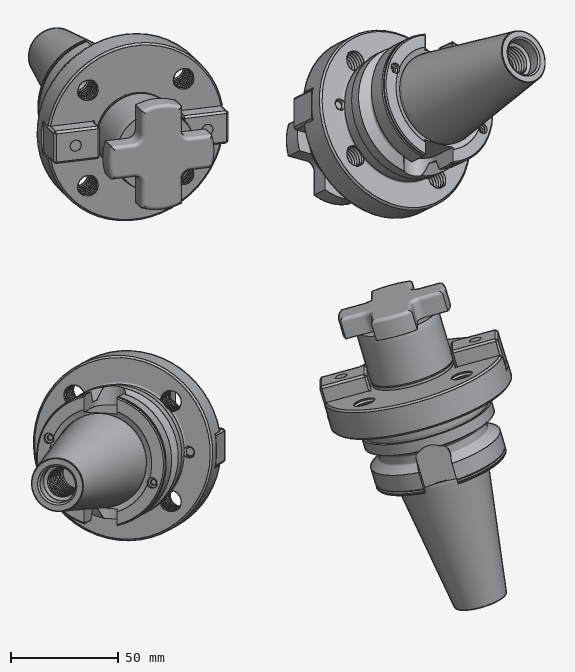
import cadquery as cq
import math


TAPER_END = 65.4
COLLAR_START = 66.3
GROOVE_START = 77.0
GROOVE_FLOOR_START = 79.9
GROOVE_FLOOR_END = 84.1
GROOVE_END = 87.0
SHOULDER_START = 92.5
SHOULDER_FULL = 93.9
FLANGE_START = 100.1
FLANGE_END = 115.0
SPIGOT_START = 116.5
SPIGOT_FULL = 117.2
LEAD_IN_START = 139.1
LEAD_IN_END = 141.0
SPIGOT_END = 142.5
TOTAL_LENGTH = 152.4

TAPER_LARGE_R = 22.3
TAPER_SMALL_R = TAPER_LARGE_R - TAPER_END * 7 / 48
TAPER_TIP_CHAMFER = 0.3

COLLAR_R = 31.5
COLLAR_CHAMFER = 0.6
GROOVE_R = 26.4
GROOVE_CORNER_R = 0.8
FACE_RECESS_R = 25.1
FACE_RECESS_DEPTH = 1.0
RING_GROOVE_START = 67.5
RING_GROOVE_WIDTH = 1.2
RING_GROOVE_DEPTH = 0.6

SHOULDER_R = 30.6
SHOULDER_RELIEF_R = 30.3
SHOULDER_FILLET = 0.9
FLANGE_R = 88.0 / 2
FLANGE_CHAMFER = 0.9
SPIGOT_R = 20.0
SPIGOT_ROOT_R = 19.7
SPIGOT_LEAD_IN_R = 19.8
SPIGOT_TIP_R = 19.5

BORE_MOUTH_R = 9.6
BORE_MOUTH_DEPTH = 0.8
PILOT_R = 8.7
PILOT_DEPTH = 6.4
PILOT_STEP_LENGTH = 0.8
STUD_THREAD_R = 7.0
STUD_THREAD_PITCH = 2.0
STUD_THREAD_TURNS = 12

KEYWAY_HALF_WIDTH = 8.1
KEYWAY_FLOOR = 22.5
KEYWAY_END = 88.7

THREAD_DEPTH_RATIO = 0.4
BOLT_HOLE_R = 5.0
BOLT_CIRCLE_R = 33.5
BOLT_THREAD_TURNS = 8
DRILL_POINT_ANGLE = 118.0
COOLANT_HOLE_R = 2.5
COOLANT_CIRCLE_R = 27.0
COOLANT_HOLE_DEPTH = 1.8
COOLANT_DRILLING_R = 1.4
COOLANT_DRILLING_DEPTH = 1.5
COOLANT_ANGLE = 20.0

KEY_START = 107.1
KEY_END = 123.1
KEY_INNER = 20.4
KEY_OUTER = 43.3
KEY_WIDTH = 16.2
KEY_CHAMFER = 1.0

SCREW_R = 2.7
SCREW_TIP_CHAMFER = 0.8
SCREW_OFFSET = 32.6
SCREW_RECESS = 1.5

HEAD_R = 26.0
SIDE_LOBE_WIDTH = 16.2
UPRIGHT_LOBE_WIDTH = 19.8
LOBE_ROOT_R = 4.1
HEAD_EDGE_R = 1.8


def rod(start, end, radius, y=0.0, z=0.0):
    """Cylinder along X between two axial positions."""
    return cq.Workplane("YZ", origin=(start, y, z)).circle(radius).extrude(end - start)


def block(start, end, y_low, y_high, z_low, z_high):
    """Box between the given limits."""
    size = (end - start, y_high - y_low, z_high - z_low)
    return cq.Workplane("XY").box(*size, centered=False).translate((start, y_low, z_low))


def turned_blank():
    """Outside of the holder, turned in one profile."""
    tip_r = TAPER_SMALL_R - TAPER_TIP_CHAMFER
    ring_groove_end = RING_GROOVE_START + RING_GROOVE_WIDTH
    ring_groove_r = COLLAR_R - RING_GROOVE_DEPTH
    profile = (
        cq.Workplane("XZ")
        .moveTo(0, 0)
        .lineTo(0, tip_r)
        .lineTo(TAPER_TIP_CHAMFER, TAPER_SMALL_R)
        .lineTo(TAPER_END, TAPER_LARGE_R)
        .lineTo(COLLAR_START + FACE_RECESS_DEPTH, TAPER_LARGE_R)
        .lineTo(COLLAR_START, FACE_RECESS_R)
        .lineTo(COLLAR_START, COLLAR_R - COLLAR_CHAMFER)
        .lineTo(COLLAR_START + COLLAR_CHAMFER, COLLAR_R)
        .lineTo(RING_GROOVE_START, COLLAR_R)
        .lineTo((RING_GROOVE_START + ring_groove_end) / 2, ring_groove_r)
        .lineTo(ring_groove_end, COLLAR_R)
        .lineTo(GROOVE_START, COLLAR_R)
        .lineTo(GROOVE_FLOOR_START, GROOVE_R)
        .lineTo(GROOVE_FLOOR_END, GROOVE_R)
        .lineTo(GROOVE_END, COLLAR_R)
        .lineTo(SHOULDER_START, COLLAR_R)
        .lineTo(SHOULDER_START, SHOULDER_RELIEF_R)
        .lineTo(SHOULDER_FULL, SHOULDER_R)
        .lineTo(FLANGE_START - SHOULDER_FILLET, SHOULDER_R)
        .radiusArc((FLANGE_START, SHOULDER_R + SHOULDER_FILLET), -SHOULDER_FILLET)
        .lineTo(FLANGE_START, FLANGE_R - FLANGE_CHAMFER)
        .lineTo(FLANGE_START + FLANGE_CHAMFER, FLANGE_R)
        .lineTo(FLANGE_END - FLANGE_CHAMFER, FLANGE_R)
        .lineTo(FLANGE_END, FLANGE_R - FLANGE_CHAMFER)
        .lineTo(FLANGE_END, SPIGOT_ROOT_R)
        .lineTo(SPIGOT_START, SPIGOT_ROOT_R)
        .lineTo(SPIGOT_FULL, SPIGOT_R)
        .lineTo(LEAD_IN_START, SPIGOT_R)
        .lineTo(LEAD_IN_END, SPIGOT_LEAD_IN_R)
        .lineTo(SPIGOT_END, SPIGOT_TIP_R)
        .lineTo(SPIGOT_END, 0)
        .close()
    )
    blank = profile.revolve(360, (0, 0, 0), (1, 0, 0))
    floor_edges = cq.selectors.BoxSelector(
        (GROOVE_FLOOR_START - GROOVE_CORNER_R, -COLLAR_R, -COLLAR_R),
        (GROOVE_FLOOR_END + GROOVE_CORNER_R, COLLAR_R, COLLAR_R),
        boundingbox=True,
    )
    return blank.edges("%CIRCLE").edges(floor_edges).fillet(GROOVE_CORNER_R)


def threaded_hole(start, radius, pitch, turns, y=0.0, z=0.0):
    """Hole along +X with ring grooves for a thread; the radius is that of the crests."""
    hole = cq.Workplane("XZ").moveTo(0, 0).lineTo(0, radius)
    for turn in range(turns):
        hole = hole.lineTo((turn + 0.5) * pitch, radius + THREAD_DEPTH_RATIO * pitch)
        hole = hole.lineTo((turn + 1) * pitch, radius)
    hole = hole.lineTo(turns * pitch, 0).close()
    return hole.revolve(360, (0, 0, 0), (1, 0, 0)).translate((start, y, z))


def cone(start, start_r, end, end_r, y=0.0, z=0.0):
    """Cone frustum along X, or a full cone where one radius is zero."""
    solid = cq.Solid.makeCone(start_r, end_r, end - start, cq.Vector(start, y, z), cq.Vector(1, 0, 0))
    return cq.Workplane("XY").newObject([solid])


def stud_bore():
    """Countersunk pilot and blind threaded hole in the small end of the taper."""
    step_end = PILOT_DEPTH + PILOT_STEP_LENGTH
    thread = threaded_hole(step_end, STUD_THREAD_R, STUD_THREAD_PITCH, STUD_THREAD_TURNS)
    return (
        cone(0, BORE_MOUTH_R, BORE_MOUTH_DEPTH, PILOT_R)
        .union(rod(0, PILOT_DEPTH, PILOT_R))
        .union(cone(PILOT_DEPTH, PILOT_R, step_end, STUD_THREAD_R))
        .union(thread)
    )


def bolt_hole(y, z):
    """Threaded hole through the flange; its drill point runs out into the shoulder."""
    pitch = (FLANGE_END - FLANGE_START) / BOLT_THREAD_TURNS
    point_length = BOLT_HOLE_R / math.tan(math.radians(DRILL_POINT_ANGLE / 2))
    point = cone(FLANGE_START - point_length, 0, FLANGE_START, BOLT_HOLE_R, y, z)
    return point.union(threaded_hole(FLANGE_START, BOLT_HOLE_R, pitch, BOLT_THREAD_TURNS, y, z))


def coolant_hole(y, z):
    """Blind hole in the collar face, with a narrower drilling at its floor."""
    entry_end = COLLAR_START + COOLANT_HOLE_DEPTH
    entry = rod(COLLAR_START, entry_end, COOLANT_HOLE_R, y, z)
    return entry.union(rod(entry_end, entry_end + COOLANT_DRILLING_DEPTH, COOLANT_DRILLING_R, y, z))


def keyway(side):
    """Round-ended slot across the collar, above or below the axis."""
    round_centre = KEYWAY_END - KEYWAY_HALF_WIDTH
    slot = (
        cq.Workplane("XY", origin=(0, 0, side * KEYWAY_FLOOR))
        .moveTo(TAPER_END, -KEYWAY_HALF_WIDTH)
        .lineTo(round_centre, -KEYWAY_HALF_WIDTH)
        .threePointArc((KEYWAY_END, 0), (round_centre, KEYWAY_HALF_WIDTH))
        .lineTo(TAPER_END, KEYWAY_HALF_WIDTH)
        .close()
    )
    return slot.extrude(side * (COLLAR_R - KEYWAY_FLOOR))


def key_seat(side):
    """Recess in the flange that takes the foot of a key, open at the rim."""
    low, high = sorted((side * KEY_INNER, side * FLANGE_R))
    return block(KEY_START, FLANGE_END, low, high, -KEY_WIDTH / 2, KEY_WIDTH / 2)


def key_screw(side):
    """Plain screw with a chamfered tip just inside the back of the flange, ending at the key face."""
    screw = rod(FLANGE_START + SCREW_RECESS, KEY_END, SCREW_R, y=side * SCREW_OFFSET)
    return screw.faces("<X").chamfer(SCREW_TIP_CHAMFER)


def screw_hole(side):
    """Hole for a key screw through flange and key."""
    return rod(FLANGE_START, KEY_END, SCREW_R, y=side * SCREW_OFFSET)


def drive_key(side):
    """Key block with chamfered front and ends."""
    low, high = sorted((side * KEY_INNER, side * KEY_OUTER))
    key = block(KEY_START, KEY_END, low, high, -KEY_WIDTH / 2, KEY_WIDTH / 2)
    key = key.faces(">X or <Y or >Y").edges().chamfer(KEY_CHAMFER)
    return key.cut(screw_hole(side))


def holder():
    """Taper shank, collar, flange and spigot in one piece."""
    body = turned_blank().cut(stud_bore())
    for side in (-1, 1):
        body = body.cut(keyway(side)).cut(key_seat(side)).cut(screw_hole(side))
    for quarter in range(4):
        angle = math.radians(45 + 90 * quarter)
        y = BOLT_CIRCLE_R * math.cos(angle)
        z = BOLT_CIRCLE_R * math.sin(angle)
        body = body.cut(bolt_hole(y, z))
    for half in range(2):
        angle = math.radians(COOLANT_ANGLE + 180 * half)
        y = COOLANT_CIRCLE_R * math.cos(angle)
        z = COOLANT_CIRCLE_R * math.sin(angle)
        body = body.cut(coolant_hole(y, z))
    return body


def lock_screw():
    """Cross-shaped screw head seated on the end of the spigot."""
    half_side = SIDE_LOBE_WIDTH / 2
    half_upright = UPRIGHT_LOBE_WIDTH / 2
    cross = block(SPIGOT_END, TOTAL_LENGTH, -HEAD_R, HEAD_R, -half_side, half_side)
    cross = cross.union(
        block(SPIGOT_END, TOTAL_LENGTH, -half_upright, half_upright, -HEAD_R, HEAD_R)
    )
    inner_corners = cq.selectors.BoxSelector(
        (SPIGOT_END, -HEAD_R / 2, -HEAD_R / 2), (TOTAL_LENGTH, HEAD_R / 2, HEAD_R / 2)
    )
    cross = cross.edges("|X").edges(inner_corners).fillet(LOBE_ROOT_R)
    head = cross.intersect(rod(SPIGOT_END, TOTAL_LENGTH, HEAD_R))
    return head.faces(">X").edges().fillet(HEAD_EDGE_R)


drive_keys = [drive_key(side) for side in (-1, 1)]
key_screws = [key_screw(side) for side in (-1, 1)]

result = cq.Compound.makeCompound(
    [
        holder().val(),
        lock_screw().val(),
        *[key.val() for key in drive_keys],
        *[screw.val() for screw in key_screws],
    ]
)